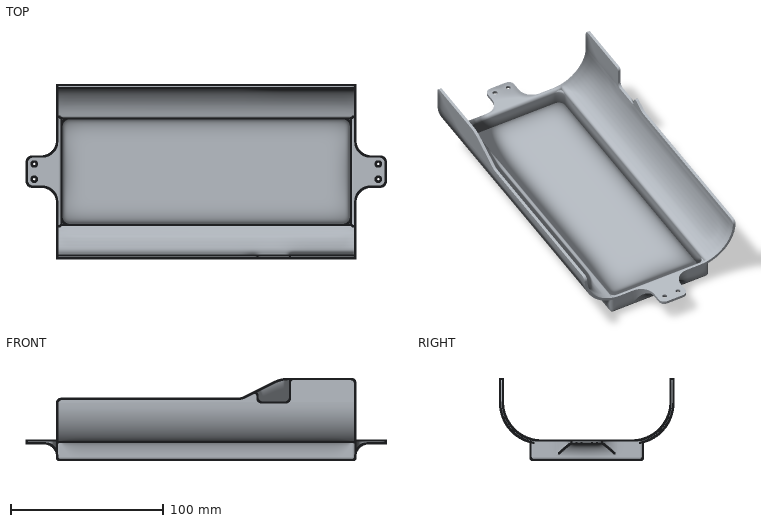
import cadquery as cq

LENGTH = 196.0
WIDTH = 114.0
WALL = 2.0

TRAY_WIDTH = 74.0
TRAY_HEIGHT = 13.0
TRAY_EDGE_RADIUS = 2.0
POCKET_LENGTH = 190.0
POCKET_WIDTH = 70.0
POCKET_FLOOR = 2.0
POCKET_CORNER_RADIUS = 5.0
POCKET_RIM_RADIUS = 2.0

LEDGE_EDGE_RADIUS = 1.0
LEDGE_Z = TRAY_HEIGHT - POCKET_RIM_RADIUS + LEDGE_EDGE_RADIUS
FRAME_EMBED = 1.5

INNER_RADIUS = 25.0
OUTER_RADIUS = INNER_RADIUS + WALL
ARC_CENTER_Y = WIDTH / 2 - OUTER_RADIUS
ARC_CENTER_Z = TRAY_HEIGHT + INNER_RADIUS
LOW_RIM_Z = 40.4
HIGH_RIM_Z = 53.4
RIM_END_RADIUS = 3.0

RAMP_START_X = 23.0
RAMP_SLOPE = 0.5
RAMP_END_X = RAMP_START_X + (HIGH_RIM_Z - LOW_RIM_Z) / RAMP_SLOPE
RAMP_FOOT_RADIUS = 10.0
RAMP_CREST_RADIUS = 20.0

NOTCH_START_X = 33.6
NOTCH_END_X = 55.0
NOTCH_FLOOR_Z = ARC_CENTER_Z
NOTCH_FLOOR_RADIUS = 3.0
NOTCH_MOUTH_RADIUS = 2.0

TAB_REACH = 20.0
TAB_WIDTH = 20.0
TAB_CORNER_RADIUS = 4.0
TAB_ROOT_RADIUS = 10.0
TAB_UNDERSIDE_RADIUS = 8.0
HOLE_DIAMETER = 3.2
HOLE_SPACING = 10.0
HOLE_EDGE_DISTANCE = 5.0

MARGIN = 0.01


def trough(radius, top_z):
    """Solid with a flat bottom and quarter-round sides, running the full length."""
    half_width = ARC_CENTER_Y + radius
    return (
        cq.Workplane("YZ")
        .moveTo(-half_width, top_z)
        .lineTo(-half_width, ARC_CENTER_Z)
        .radiusArc((-ARC_CENTER_Y, ARC_CENTER_Z - radius), -radius)
        .lineTo(ARC_CENTER_Y, ARC_CENTER_Z - radius)
        .radiusArc((half_width, ARC_CENTER_Z), -radius)
        .lineTo(half_width, top_z)
        .close()
        .extrude(LENGTH / 2, both=True)
    )


def cross_edges(x, z):
    """Selector for the Y-parallel edges of a side wall passing through (x, z)."""
    return cq.selectors.BoxSelector(
        (x - MARGIN, -WIDTH, z - MARGIN), (x + MARGIN, WIDTH, z + MARGIN)
    )


def rim_envelope(notched):
    """Prism whose rounded upper outline is the rim of a side wall, optionally notched."""
    half_length = LENGTH / 2
    outline = [
        (-half_length, 0),
        (-half_length, LOW_RIM_Z),
        (RAMP_START_X, LOW_RIM_Z),
        (RAMP_END_X, HIGH_RIM_Z),
        (half_length, HIGH_RIM_Z),
        (half_length, 0),
    ]
    rounds = [
        (-half_length, LOW_RIM_Z, RIM_END_RADIUS),
        (half_length, HIGH_RIM_Z, RIM_END_RADIUS),
        (RAMP_START_X, LOW_RIM_Z, RAMP_FOOT_RADIUS),
        (RAMP_END_X, HIGH_RIM_Z, RAMP_CREST_RADIUS),
    ]
    envelope = cq.Workplane("XZ").polyline(outline).close().extrude(WIDTH, both=True)
    for x, z, radius in rounds:
        envelope = envelope.edges(cross_edges(x, z)).fillet(radius)
    if not notched:
        return envelope

    notch = (
        cq.Workplane("XZ")
        .moveTo(NOTCH_START_X, NOTCH_FLOOR_Z)
        .lineTo(NOTCH_END_X, NOTCH_FLOOR_Z)
        .lineTo(NOTCH_END_X, HIGH_RIM_Z)
        .lineTo(NOTCH_START_X, HIGH_RIM_Z)
        .close()
        .extrude(WIDTH, both=True)
    )
    envelope = envelope.cut(notch)
    mouth_z = LOW_RIM_Z + RAMP_SLOPE * (NOTCH_START_X - RAMP_START_X)
    notch_rounds = [
        (NOTCH_START_X, NOTCH_FLOOR_Z, NOTCH_FLOOR_RADIUS),
        (NOTCH_END_X, NOTCH_FLOOR_Z, NOTCH_FLOOR_RADIUS),
        (NOTCH_START_X, mouth_z, NOTCH_MOUTH_RADIUS),
        (NOTCH_END_X, HIGH_RIM_Z, NOTCH_MOUTH_RADIUS),
    ]
    for x, z, radius in notch_rounds:
        envelope = envelope.edges(cross_edges(x, z)).fillet(radius)
    return envelope


def half_space(side):
    """Box covering everything on the +Y (side=1) or -Y (side=-1) half."""
    return cq.Workplane("XY").box(LENGTH, WIDTH, 2 * HIGH_RIM_Z).translate((0, side * WIDTH / 2, 0))


def trimmed_shell():
    """Outer trough whose two side walls are trimmed to their own rim outlines."""
    shell = trough(OUTER_RADIUS, HIGH_RIM_Z)
    front = shell.intersect(half_space(-1)).intersect(rim_envelope(notched=True))
    back = shell.intersect(half_space(1)).intersect(rim_envelope(notched=False))
    return front.union(back)


def tray():
    """Solid tray block with rounded vertical corners and bottom edges."""
    return (
        cq.Workplane("XY")
        .rect(LENGTH, TRAY_WIDTH)
        .extrude(TRAY_HEIGHT)
        .edges("|Z")
        .fillet(TRAY_EDGE_RADIUS)
        .faces("<Z")
        .edges()
        .fillet(TRAY_EDGE_RADIUS)
    )


def pocket():
    """Rectangular recess of the tray, open upwards."""
    return (
        cq.Workplane("XY", origin=(0, 0, POCKET_FLOOR))
        .rect(POCKET_LENGTH, POCKET_WIDTH)
        .extrude(ARC_CENTER_Z - POCKET_FLOOR)
    )


def corner_frame():
    """Frame hidden inside the tray walls except at the pocket corners, which it rounds.

    Its inner edge is rounded over so each corner ends in a small ledge below the rim.
    """
    frame = (
        cq.Workplane("XY", origin=(0, 0, POCKET_FLOOR))
        .rect(POCKET_LENGTH + 2 * FRAME_EMBED, POCKET_WIDTH + 2 * FRAME_EMBED)
        .extrude(LEDGE_Z - POCKET_FLOOR)
    )
    opening = pocket().edges("|Z").fillet(POCKET_CORNER_RADIUS)
    inner_edge = cq.selectors.BoxSelector(
        (-POCKET_LENGTH / 2 - MARGIN, -POCKET_WIDTH / 2 - MARGIN, LEDGE_Z - MARGIN),
        (POCKET_LENGTH / 2 + MARGIN, POCKET_WIDTH / 2 + MARGIN, LEDGE_Z + MARGIN),
    )
    return frame.cut(opening).faces(">Z").edges(inner_edge).fillet(LEDGE_EDGE_RADIUS)


def round_pocket_rim(body):
    """Round the edge where the pocket meets the tray top and the curved walls."""
    reach = 0.5 * POCKET_RIM_RADIUS
    rim_zone = cq.selectors.BoxSelector(
        (-POCKET_LENGTH / 2 - reach, -POCKET_WIDTH / 2 - reach, TRAY_HEIGHT - reach),
        (POCKET_LENGTH / 2 + reach, POCKET_WIDTH / 2 + reach, TRAY_HEIGHT + reach),
        boundingbox=True,
    )
    return body.edges(rim_zone).fillet(POCKET_RIM_RADIUS)


def right_tab():
    """Drilled tab on the +X end, flared into the tray both in plan and underneath."""
    root_x = LENGTH / 2
    tip_x = root_x + TAB_REACH
    half_width = TAB_WIDTH / 2
    root_half_width = half_width + TAB_ROOT_RADIUS
    flare_x = root_x + TAB_ROOT_RADIUS
    underside_z = TRAY_HEIGHT - WALL

    plan = (
        cq.Workplane("XY")
        .moveTo(root_x, -root_half_width)
        .radiusArc((flare_x, -half_width), TAB_ROOT_RADIUS)
        .lineTo(tip_x, -half_width)
        .lineTo(tip_x, half_width)
        .lineTo(flare_x, half_width)
        .radiusArc((root_x, root_half_width), TAB_ROOT_RADIUS)
        .close()
        .extrude(TRAY_HEIGHT)
        .edges("|Z and >X")
        .fillet(TAB_CORNER_RADIUS)
    )
    side = (
        cq.Workplane("XZ")
        .moveTo(root_x, underside_z - TAB_UNDERSIDE_RADIUS)
        .radiusArc((root_x + TAB_UNDERSIDE_RADIUS, underside_z), TAB_UNDERSIDE_RADIUS)
        .lineTo(tip_x, underside_z)
        .lineTo(tip_x, TRAY_HEIGHT)
        .lineTo(root_x, TRAY_HEIGHT)
        .close()
        .extrude(root_half_width, both=True)
    )
    holes = (
        cq.Workplane("XY")
        .pushPoints([(tip_x - HOLE_EDGE_DISTANCE, y) for y in (-HOLE_SPACING / 2, HOLE_SPACING / 2)])
        .circle(HOLE_DIAMETER / 2)
        .extrude(TRAY_HEIGHT)
    )
    return plan.intersect(side).cut(holes)


body = trimmed_shell().union(tray())
body = body.cut(trough(INNER_RADIUS, HIGH_RIM_Z)).cut(pocket())
body = round_pocket_rim(body).union(corner_frame())
tab = right_tab()
result = body.union(tab).union(tab.mirror("YZ"))